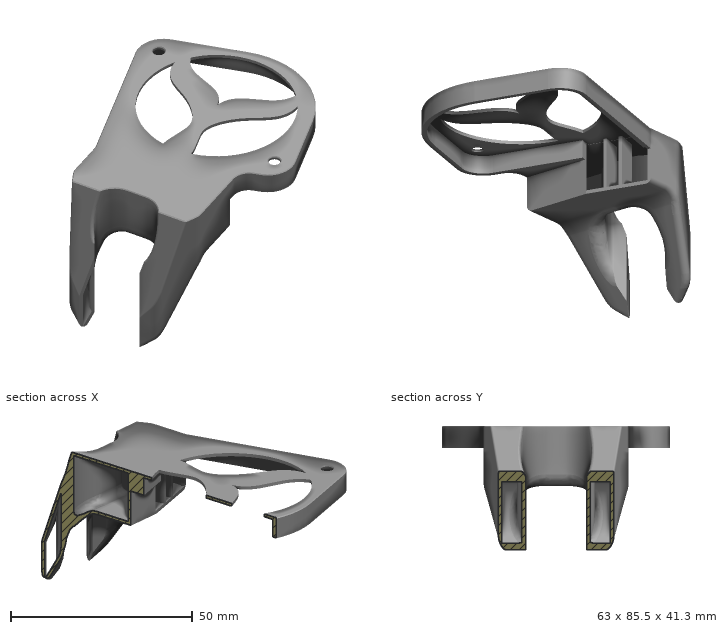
import cadquery as cq
import math


tray_angle = 15.0
tray_left = -27.7
tray_right = 27.4
tray_rear = 25.3
tray_front = -26.3
tray_depth = 6.2
tray_wall = 1.5
roof = 0.9
corner_radius = 7.95
scroll_radius = 25.0
top_chamfer = 0.25

hole_x = 25.9
hole_y = 13.1
hole_diameter = 3.4
hole_chamfer = 0.25

inlet_radius = 22.4
blade_upper_angle = 41.7
blade_lower_angle = 29.3
stem_angle = -78.6
notch_point = (0, 0.25)
blade_upper_edge = [(3.2, 5.4), (11.4, 9.2)]
blade_lower_edge = [(15.4, 2.8), (10.1, -0.6), (5.5, -4.6), (2.3, -10.8), (3.2, -15.8)]

neck_half = 20.0
shoulder_y = -44.65
neck_fillet = 5.0
shoulder_radius = 5.0
arm_corner = (14.0, -57.7)
arm_corner_radius = 5.1
arm_end = (9.6, -59.6)
nozzle_end = (7.2, -55.3)
block_back_y = -27.5
arch_y = -44.7
arch_flat_half = 2.9
arch_side = (9.7, -49.9)
arch_lower = (9.1, -52.1)

block_depth = 16.4
slope_top_y = -48.8
slope_end_z = -29.9
under_start_y = -42.4
under_angle = 31.2
under_radius = 5.0
bottom_fillet = 1.6
arch_fillet = 3.25
front_inner_fillet = 0.8
front_outer_fillet = 0.6

duct_wall = 1.0
outlet_right = -7.8
vane_places = (-19.0, -14.4)
vane_length = 6.85
nozzle_inner_lip = 0.9
nozzle_outer_lip = 1.2
nozzle_reach = 2.6

turn = math.radians(tray_angle)
duct_floor = -block_depth + duct_wall
plan_depth = 3 * block_depth
overrun = 4.3


def tray_plane(z=0.0):
    return cq.Plane(origin=(0, 0, z), xDir=(math.cos(turn), math.sin(turn), 0), normal=(0, 0, 1))


def from_tray(u, v):
    """Plan position of a point given in the turned frame of the tray."""
    return (u * math.cos(turn) - v * math.sin(turn), u * math.sin(turn) + v * math.cos(turn))


def tray_box(left, right, front, rear, top, bottom):
    return (
        cq.Workplane(tray_plane(bottom))
        .moveTo(left, front)
        .lineTo(right, front)
        .lineTo(right, rear)
        .lineTo(left, rear)
        .close()
        .extrude(top - bottom)
    )


def tray_solid(inset, top, bottom):
    """Tray outline moved inwards by inset; one large corner follows the blower scroll."""
    left, right = tray_left + inset, tray_right - inset
    front, rear = tray_front + inset, tray_rear - inset
    box = tray_box(left, right, front, rear, top, bottom)
    for corner, radius in (
        ((left, rear), corner_radius),
        ((right, front), corner_radius),
        ((right, rear), scroll_radius),
    ):
        point = from_tray(*corner)
        box = box.edges(cq.NearestToPointSelector((*point, (top + bottom) / 2))).fillet(radius - inset)
    return box


def mirrored(points):
    return [(-x, y) for x, y in reversed(points)]


def on_inlet(angle):
    return (inlet_radius * math.cos(math.radians(angle)), inlet_radius * math.sin(math.radians(angle)))


def inlet_openings():
    upper_tip = on_inlet(blade_upper_angle)
    half = [notch_point] + blade_upper_edge + [upper_tip]
    upper = (
        cq.Workplane("XY")
        .moveTo(*notch_point)
        .spline(half[1:], includeCurrent=True)
        .threePointArc((0, inlet_radius), (-upper_tip[0], upper_tip[1]))
        .spline(mirrored(half)[1:], includeCurrent=True)
        .close()
        .extrude(-tray_depth)
    )
    stem_tip = on_inlet(stem_angle)
    side = (
        cq.Workplane("XY")
        .moveTo(*on_inlet(blade_lower_angle))
        .spline(blade_lower_edge + [stem_tip], includeCurrent=True)
        .threePointArc(on_inlet((blade_lower_angle + stem_angle) / 2), on_inlet(blade_lower_angle))
        .close()
        .extrude(-tray_depth)
    )
    return upper.union(side).union(side.mirror("YZ"))


def block_plan(depth, inset=0.0):
    """Neck, arms and the arch between them, moved inwards by inset, pulled down to depth."""
    half = (
        cq.Workplane("XY")
        .moveTo(0, arch_y)
        .lineTo(arch_flat_half, arch_y)
        .tangentArcPoint(arch_side, relative=False)
        .tangentArcPoint(arch_lower, relative=False)
        .lineTo(*nozzle_end)
        .lineTo(*arm_end)
        .lineTo(*arm_corner)
        .lineTo(neck_half, shoulder_y)
        .lineTo(neck_half, block_back_y)
        .lineTo(0, block_back_y)
        .close()
        .extrude(-depth)
    )
    plan = half.union(half.mirror("YZ")).clean()
    plan = plan.cut(tray_box(2 * tray_left, 2 * tray_right, tray_front, tray_rear, 0, -depth))
    for side in (-1, 1):
        for corner, radius in (((neck_half, shoulder_y), shoulder_radius), (arm_corner, arm_corner_radius)):
            edge = cq.NearestToPointSelector((side * corner[0], corner[1], -depth / 2))
            plan = plan.edges(edge).fillet(radius)
    if inset:
        plan = plan.faces(">Z").wires().toPending().offset2D(-inset, "intersection").extrude(-depth, combine=False)
    return plan


def underside_start(inset):
    """Y where the flat underside, moved in by inset, turns down along the arms."""
    lean = math.radians(90 - under_angle)
    return under_start_y - inset * math.tan(lean / 2)


def underside_z(y, inset):
    drop = (underside_start(inset) - y) / math.tan(math.radians(under_angle))
    return -block_depth + inset - drop


def side_profile(inset):
    """Side shape of block and arms, moved inwards by inset on top, slope and underside."""
    tip_y = arm_end[1]
    front_lean = math.atan2(slope_top_y - tip_y, -slope_end_z)
    front_shift = inset / math.cos(front_lean)
    top_y = slope_top_y + front_shift - inset * math.tan(front_lean)
    floor = -block_depth + inset
    under_y = underside_start(inset)
    tip_z = underside_z(tip_y, inset)
    tip_top_z = -inset - (top_y - tip_y) / math.tan(front_lean)
    width = 2 * (neck_half + overrun)
    profile = (
        cq.Workplane("YZ", origin=(-width / 2, 0, 0))
        .moveTo(0, -inset)
        .lineTo(top_y, -inset)
        .lineTo(tip_y, tip_top_z)
        .lineTo(tip_y, tip_z)
        .lineTo(under_y, floor)
        .lineTo(0, floor)
        .close()
        .extrude(width)
    )
    return profile.edges(cq.NearestToPointSelector((0, under_y, floor))).fillet(under_radius + inset)


def fillet_near(solid, points, radius):
    """Round the edges whose middles lie nearest to the given points."""
    edges = [solid.edges(cq.NearestToPointSelector(point)).val() for point in points]
    return cq.Workplane(solid.val().fillet(radius, edges))


def both_sides(x, y, z):
    return [(-x, y, z), (x, y, z)]


def arch_bottom_edge(inset):
    """Middle of the sharp edge where the arch wall meets the sloping underside."""
    y = arch_y + inset
    return [(0, y, underside_z(y, inset))]


def block():
    body = block_plan(plan_depth).intersect(side_profile(0))
    body = fillet_near(body, both_sides(neck_half, under_start_y + under_radius, -block_depth), bottom_fillet)
    body = fillet_near(body, arch_bottom_edge(0), arch_fillet)
    arm_middle = [(a + b) / 2 for a, b in zip((neck_half, shoulder_y), arm_corner)]
    body = fillet_near(body, both_sides(*arm_middle, slope_end_z / 3), front_outer_fillet)
    return fillet_near(body, both_sides(*arch_side, slope_end_z / 4), front_inner_fillet)


def nozzle_cutter():
    """Slot through the end face of the right arm, square to that face."""
    along = cq.Vector(*arm_end) - cq.Vector(*nozzle_end)
    slot_width = along.Length - nozzle_inner_lip - nozzle_outer_lip
    plane = cq.Plane(origin=(*nozzle_end, 0), xDir=along.toTuple(), normal=(0, 0, 1))
    return (
        cq.Workplane(plane)
        .moveTo(nozzle_inner_lip + slot_width / 2, 0)
        .rect(slot_width, 2 * nozzle_reach)
        .extrude(-plan_depth)
        .intersect(side_profile(duct_wall))
    )


def air_passage():
    """Chamber inside block and arms, its inlet from the blower, guide vanes and nozzles."""
    chamber = block_plan(plan_depth, duct_wall).intersect(side_profile(duct_wall))
    chamber = fillet_near(chamber, arch_bottom_edge(duct_wall), arch_fillet - duct_wall)
    outlet = tray_box(
        tray_left + duct_wall, outlet_right, tray_front - 2 * duct_wall, tray_front + tray_wall, -roof, duct_floor
    )
    passage = chamber.union(outlet)
    for place in vane_places:
        vane = tray_box(place, place + duct_wall, tray_front - vane_length, tray_front, 0, -block_depth)
        passage = passage.cut(vane)
    nozzle = nozzle_cutter()
    return passage.union(nozzle).union(nozzle.mirror("YZ"))


def tray_front_y(x):
    """Y of the tray's front side at a given X."""
    return tray_front / math.cos(turn) + x * math.tan(turn)


def plate():
    """Tray blank joined to the neck, with the inner corner on the right rounded."""
    neck = (
        cq.Workplane("XY")
        .moveTo(-neck_half, shoulder_y + shoulder_radius)
        .lineTo(neck_half, shoulder_y + shoulder_radius)
        .lineTo(neck_half, tray_front_y(neck_half))
        .lineTo(-neck_half, tray_front_y(-neck_half))
        .close()
        .extrude(-tray_depth)
    )
    blank = tray_solid(0, 0, -tray_depth).union(neck)
    return fillet_near(blank, [(neck_half, tray_front_y(neck_half), -tray_depth / 2)], neck_fillet)


def mounting_holes():
    radius = hole_diameter / 2
    points = [(-hole_x, hole_y), (hole_x, -hole_y)]
    holes = cq.Workplane("XY").pushPoints(points).circle(radius).extrude(-tray_depth)
    flares = (
        cq.Workplane("XY")
        .pushPoints(points)
        .circle(radius + hole_chamfer)
        .extrude(-hole_chamfer, taper=45)
    )
    return holes.union(flares)


solid = plate().union(block()).clean()
solid = solid.faces(">Z").chamfer(top_chamfer)
solid = solid.cut(tray_solid(tray_wall, -roof, -tray_depth))
solid = solid.cut(air_passage())
result = solid.cut(inlet_openings()).cut(mounting_holes())